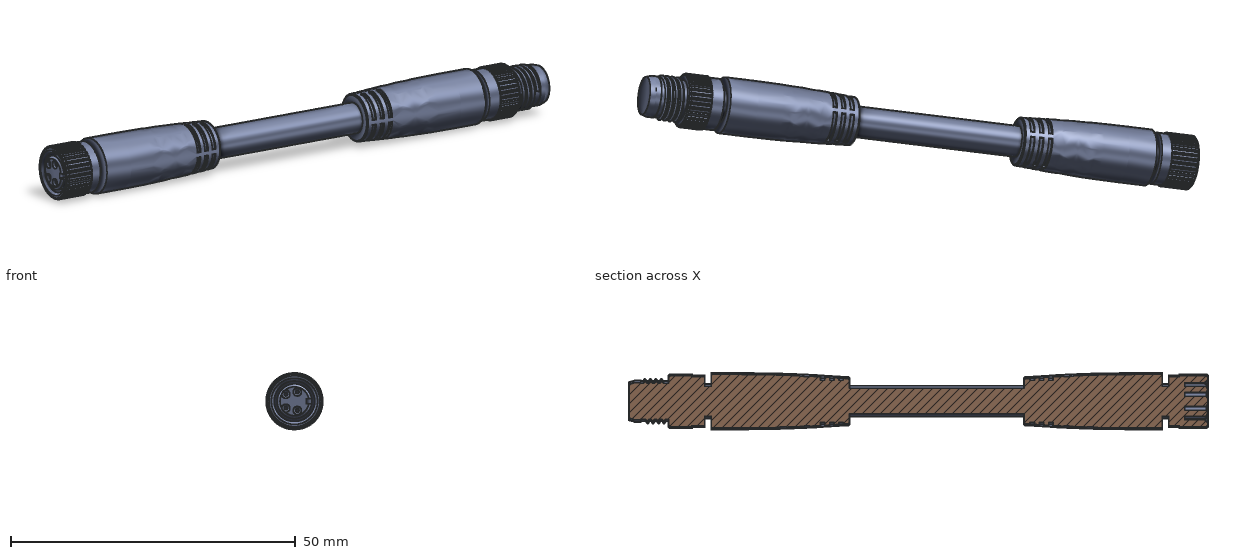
import cadquery as cq
import math

length = 101.6
male_tip = length / 2
female_tip = -length / 2

grip_length = 24.3
grip_cylinder_length = 5.1
grip_radius = 5.0
relief_start_radius = 4.6
relief_end_radius = 4.3
relief_edge_chamfer = 0.2
cable_radius = 2.7

slot_count = 3
slot_first = 1.1
slot_pitch = 1.6
slot_width = 0.7
slot_floor_radius = 4.1
bridge_width = 0.9

relief_length = slot_first + (slot_count - 1) * slot_pitch + slot_width

neck_radius = 3.0
neck_length = 1.1
collar_radius = 4.6

nut_radius = 4.8
nut_root_radius = 4.5
nut_chamfer = 0.3
tooth_count = 36

male_nut_front = 6.9
male_nut_length = 4.2
male_collar_length = 2.2
spigot_radius = 3.7
spigot_tip_radius = 3.4
spigot_chamfer_length = 1.0
thread_core_radius = 3.6
thread_crest_radius = 4.0
thread_pitch = 0.97
tip_length = 2.0
thread_base_width = 0.8
thread_sink = 0.1
thread_end_gap = 0.1

female_nut_length = 5.1
female_collar_length = 1.8
bore_radius = 3.6
bore_chamfer = 0.5
bore_depth = 4.1
insert_radius = 3.0
insert_face_radius = 2.5
insert_chamfer = 0.3
contact_hole_radius = 0.3
contact_mouth_radius = 0.7
contact_mouth_depth = 0.3
contact_hole_depth = 4.1
contact_positions = [(-1.5, 1.2), (-1.5, -1.2), (0.5, 1.6), (0.5, -1.6)]
key_width = 0.9
key_depth = 1.5
key_inner_x = 2.0

male_nut_front_y = male_tip - male_nut_front
male_nut_back_y = male_nut_front_y - male_nut_length
male_collar_back_y = male_nut_back_y - male_collar_length
male_grip_front_y = male_collar_back_y - neck_length
male_grip_back_y = male_grip_front_y - grip_length
female_nut_back_y = female_tip + female_nut_length
female_collar_back_y = female_nut_back_y + female_collar_length
female_grip_front_y = female_collar_back_y + neck_length
female_grip_back_y = female_grip_front_y + grip_length


def cylinder(radius, y_start, y_end):
    plane = cq.Workplane("XZ", origin=(0, y_start, 0))
    return plane.circle(radius).extrude(y_start - y_end)


def revolve_about_y(profile):
    return profile.close().revolve(360, (0, 0, 0), (0, 1, 0))


def grip():
    """Grip with its cable end at y = 0 and its front face at y = grip_length."""
    taper_end = grip_length - grip_cylinder_length
    waist_radius = grip_radius - (grip_radius - relief_start_radius) / 4
    body = revolve_about_y(
        cq.Workplane("XY")
        .lineTo(relief_end_radius - relief_edge_chamfer, 0)
        .lineTo(relief_end_radius, relief_edge_chamfer)
        .lineTo(relief_start_radius, relief_length)
        .threePointArc((waist_radius, (relief_length + taper_end) / 2), (grip_radius, taper_end))
        .lineTo(grip_radius, grip_length)
        .lineTo(0, grip_length)
    )
    slot_ring = cylinder(2 * grip_radius, 0, slot_width).cut(cylinder(slot_floor_radius, 0, slot_width))
    bridge_span = 5 * grip_radius
    slot_ring = slot_ring.cut(cq.Workplane("XY").box(bridge_span, bridge_span, bridge_width))
    slot_ring = slot_ring.cut(cq.Workplane("XY").box(bridge_width, bridge_span, bridge_span))
    for index in range(slot_count):
        body = body.cut(slot_ring.translate((0, slot_first + index * slot_pitch, 0)))
    return body


def knurled_nut(y_start, nut_length, front):
    """Nut with straight teeth; front is the selector of the end face that is chamfered."""
    tooth_angle = 2 * math.pi / tooth_count
    outline = []
    for tooth in range(tooth_count):
        for radius, offset in [(nut_radius, -0.25), (nut_radius, 0.25), (nut_root_radius, 0.5)]:
            angle = (tooth + offset) * tooth_angle
            outline.append((radius * math.cos(angle), radius * math.sin(angle)))
    nut = cq.Workplane("XZ").polyline(outline).close().extrude(-nut_length)
    envelope = cylinder(nut_radius, 0, nut_length).faces(front).edges().chamfer(nut_chamfer)
    return nut.intersect(envelope).translate((0, y_start, 0))


def male_spigot():
    """Plain chamfered tip followed by an external thread that ends at the nut."""
    thread_start_y = male_tip - tip_length
    tip = revolve_about_y(
        cq.Workplane("XY")
        .moveTo(0, male_tip)
        .lineTo(spigot_tip_radius, male_tip)
        .lineTo(spigot_radius, male_tip - spigot_chamfer_length)
        .lineTo(spigot_radius, thread_start_y)
        .lineTo(0, thread_start_y)
    )
    core = cylinder(thread_core_radius, male_nut_front_y, thread_start_y)
    inner_radius = thread_core_radius - thread_sink
    half_width = thread_base_width / 2
    end_clearance = half_width + thread_end_gap
    helix_length = thread_start_y - male_nut_front_y - 2 * end_clearance
    helix = cq.Wire.makeHelix(thread_pitch, helix_length, inner_radius)
    ridge = (
        cq.Workplane("XZ")
        .moveTo(inner_radius, -half_width)
        .lineTo(thread_crest_radius, 0)
        .lineTo(inner_radius, half_width)
        .close()
        .sweep(cq.Workplane(obj=helix), isFrenet=True)
        .rotate((0, 0, 0), (1, 0, 0), 90)
        .translate((0, thread_start_y - end_clearance, 0))
    )
    return core.union(ridge).union(tip)


def contact_hole(x, z):
    """Blind contact hole at (x, z) with a conical mouth in the female end face."""
    mouth = cq.Solid.makeCone(
        contact_mouth_radius, contact_hole_radius, contact_mouth_depth,
        cq.Vector(x, female_tip, z), cq.Vector(0, 1, 0))
    hole = cylinder(contact_hole_radius, female_tip, female_tip + contact_hole_depth)
    return hole.translate((x, 0, z)).union(cq.Workplane(obj=mouth))


def socket_insert():
    """Core inside the female nut, with contact holes and a key slot on its +X side."""
    insert = cylinder(insert_radius, female_tip, female_tip + bore_depth)
    insert = insert.faces("<Y").edges().chamfer(insert_chamfer, insert_radius - insert_face_radius)
    for x, z in contact_positions:
        insert = insert.cut(contact_hole(x, z))
    key_slot = cq.Workplane("XY").box(insert_radius, key_depth, key_width, centered=(False, False, True))
    return insert.cut(key_slot.translate((key_inner_x, female_tip, 0)))


male_plug = (
    male_spigot()
    .union(knurled_nut(male_nut_back_y, male_nut_length, ">Y"))
    .union(cylinder(collar_radius, male_collar_back_y, male_nut_back_y))
    .union(cylinder(neck_radius, male_grip_front_y, male_collar_back_y))
    .union(grip().translate((0, male_grip_back_y, 0)))
)

bore = cylinder(bore_radius, female_tip, female_tip + bore_depth)
bore_lead_in = cq.Workplane(obj=cq.Solid.makeCone(
    bore_radius + bore_chamfer, bore_radius, bore_chamfer,
    cq.Vector(0, female_tip, 0), cq.Vector(0, 1, 0)))
female_plug = (
    knurled_nut(female_tip, female_nut_length, "<Y")
    .cut(bore)
    .cut(bore_lead_in)
    .union(socket_insert())
    .union(cylinder(collar_radius, female_nut_back_y, female_collar_back_y))
    .union(cylinder(neck_radius, female_collar_back_y, female_grip_front_y))
    .union(grip().mirror("XZ").translate((0, female_grip_back_y, 0)))
)

cable = cylinder(cable_radius, female_grip_back_y, male_grip_back_y)
result = male_plug.union(cable).union(female_plug)